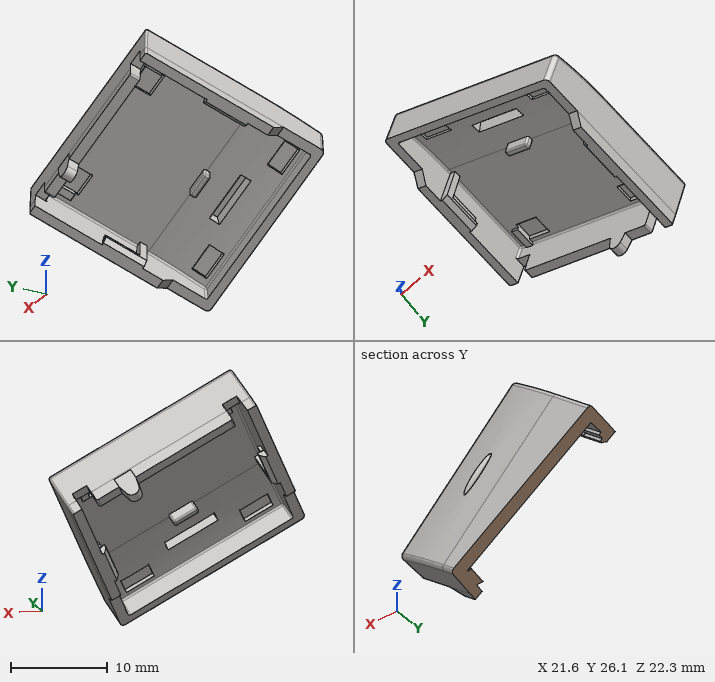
import cadquery as cq
import math


ROLL = 33.3
PITCH = 20.0

WIDTH = 22.2
LENGTH = 22.1
HEIGHT = 6.04
RIM_HEIGHT = 1.32
OUTER_DRAFT = 0.5
NOSE_DRAFT = 2.3
CURVE_START = -2.7
CURVE_RADIUS = 46.0
ROOT = 0.5
RAMP_LOW = -4.7
RAMP_HIGH = -5.9
EDGE_RADIUS = 0.5
TAIL_CORNER_RADIUS = 0.2

CEILING = 4.0
WALL = 1.1
TAIL_WALL = 1.2
NOSE_WALL = 0.97
SIDE_DRAFT = 2.0
NOSE_INNER_DRAFT = 5.0
CAVITY_RADIUS = 0.22
CUT_BASE = -1.0

TAB_HALF_WIDTH = 8.2
NOTCH_TOP = 2.35
TAB_CORNER_RADIUS = 0.2
TOOTH_X = 4.5
TOOTH_BASE_HALF = 1.0
TOOTH_TIP_RADIUS = 0.75
TOOTH_TIP_Z = -1.1

LATCH_TAIL = 2.77
LATCH_NOSE = -2.23
LATCH_REACH = 0.75
LATCH_LEAD_REACH = 0.26
LATCH_LEAD_HEIGHT = 0.6
LATCH_TOP = 0.95
PLATE_REACH = 0.4
PLATE_TOP = 1.75
PLATE_INSET = 0.1
LATCH_RIB = 0.85

STOP_LENGTH = 2.9
STOP_WIDTH = 0.8
STOP_HEIGHT = 1.2
STOP_RADIUS = 0.2
STOP_Y = -2.76
LIGHT_Y = -6.48
WINDOW_LENGTH = 6.0
WINDOW_WIDTH = 1.35
WINDOW_FLOOR_WIDTH = 0.65
WINDOW_FLOOR = 5.2
LENS_LENGTH = 5.2
LENS_WIDTH = 0.85
POCKET_DEPTH = 0.32
POCKET_INNER_X = 5.5
TAIL_POCKET = (6.9, 9.2)
TAIL_POCKET_OUTER_X = 8.2
NOSE_POCKET = (-9.3, -7.5)
NOSE_POCKET_OUTER_X = 8.85
POCKET_SLOPE = 0.15
PAD_OUTER_X = 9.05
PAD_NOSE = 7.3
PAD_DEPTH = 0.33

CEILING_RADIUS = CURVE_RADIUS - (HEIGHT - CEILING)
TAIL = LENGTH / 2
NOSE = -LENGTH / 2
SIDE = WIDTH / 2
TAIL_INNER = TAIL - TAIL_WALL


def tan_deg(angle):
    return math.tan(math.radians(angle))


def curve_drop(y, radius):
    """How far an arc tangent at CURVE_START has fallen at y."""
    run = min(y - CURVE_START, 0)
    return radius - math.sqrt(radius ** 2 - run ** 2)


def box(x_range, y_range, z_range):
    size = [b - a for a, b in (x_range, y_range, z_range)]
    low = (x_range[0], y_range[0], z_range[0])
    return cq.Workplane("XY").box(*size, centered=False).translate(low)


def along_x(profile, half_width):
    """Extrude a closed Y-Z profile symmetrically about x = 0."""
    return profile.extrude(half_width, both=True)


def tapered_prism(half_width, draft, base, top):
    """Y-long prism whose sides lean inward by draft above base."""
    top_half = half_width - tan_deg(draft) * (top - base)
    return (
        cq.Workplane("XZ")
        .moveTo(-half_width, base)
        .lineTo(half_width, base)
        .lineTo(top_half, top)
        .lineTo(-top_half, top)
        .close()
        .extrude(LENGTH, both=True)
    )


def domed_profile(tail, base, nose, tail_draft, nose_draft, top, radius):
    """Y-Z outline: flat top, leaning tail, and an arc down to a leaning nose."""
    lean = tan_deg(nose_draft)
    nose_top = nose
    for _ in range(5):
        nose_top = nose + lean * (top - curve_drop(nose_top, radius) - base)
    middle = (CURVE_START + nose_top) / 2
    return (
        cq.Workplane("YZ")
        .moveTo(tail, base)
        .lineTo(tail - tan_deg(tail_draft) * (top - base), top)
        .lineTo(CURVE_START, top)
        .threePointArc(
            (middle, top - curve_drop(middle, radius)),
            (nose_top, top - curve_drop(nose_top, radius)),
        )
        .lineTo(nose, base)
        .close()
    )


def edges_in(body, y_range, z_range):
    """Edges of a body whose centres lie within the given Y and Z ranges."""
    low = (-SIDE - 1, y_range[0], z_range[0])
    high = (SIDE + 1, y_range[1], z_range[1])
    return body.edges(cq.selectors.BoxSelector(low, high))


def outer_shell():
    profile = domed_profile(
        TAIL, RIM_HEIGHT, NOSE, OUTER_DRAFT, NOSE_DRAFT, HEIGHT, CURVE_RADIUS
    )
    body = along_x(profile, SIDE)
    body = body.intersect(tapered_prism(SIDE, OUTER_DRAFT, RIM_HEIGHT, HEIGHT + 1))
    mid_height = (RIM_HEIGHT + HEIGHT) / 2
    upright = (mid_height - 1, mid_height + 1)
    body = edges_in(body, (NOSE, RAMP_HIGH), upright).fillet(EDGE_RADIUS)
    skin = (mid_height + 1, HEIGHT + 1)
    behind = edges_in(body, (CURVE_START + 1, TAIL + 1), skin)
    ahead = edges_in(body, (NOSE - 1, CURVE_START - 1), skin)
    body = behind.add(ahead).fillet(EDGE_RADIUS)
    return edges_in(body, (TAIL - 0.1, TAIL), upright).fillet(TAIL_CORNER_RADIUS)


def rim_skirt():
    skirt = (
        cq.Workplane("XY", origin=(0, 0, RIM_HEIGHT))
        .rect(WIDTH, LENGTH)
        .extrude(-RIM_HEIGHT, taper=OUTER_DRAFT)
    )
    half_height = RIM_HEIGHT / 2
    tail_corners = edges_in(skirt, (TAIL - 1, TAIL + 1), (half_height - 0.1, half_height + 0.1))
    skirt = tail_corners.fillet(TAIL_CORNER_RADIUS)
    side_view = (
        cq.Workplane("YZ")
        .moveTo(TAIL, 0)
        .lineTo(RAMP_LOW, 0)
        .lineTo(RAMP_HIGH, RIM_HEIGHT)
        .lineTo(TAIL, RIM_HEIGHT)
        .close()
    )
    return skirt.intersect(along_x(side_view, SIDE))


def between_side_walls():
    """Prism that fills the space between the drafted inner faces of the side walls."""
    base_half = SIDE - WALL - tan_deg(SIDE_DRAFT) * CUT_BASE
    return tapered_prism(base_half, SIDE_DRAFT, CUT_BASE, HEIGHT)


def cavity():
    nose_inner = NOSE + NOSE_WALL
    nose_mouth = nose_inner + tan_deg(NOSE_INNER_DRAFT) * (CUT_BASE - RIM_HEIGHT)
    profile = domed_profile(
        TAIL_INNER, CUT_BASE, nose_mouth, 0, NOSE_INNER_DRAFT, CEILING, CEILING_RADIUS
    )
    core = along_x(profile, SIDE)
    core = core.intersect(between_side_walls())
    everywhere = NOSE, TAIL
    middle = (1, CEILING - 1)
    top = (CEILING - 1, HEIGHT)
    uprights = edges_in(core, everywhere, middle)
    behind = edges_in(core, (CURVE_START + 1, TAIL), top)
    ahead = edges_in(core, (NOSE, CURVE_START - 1), top)
    return uprights.add(behind).add(ahead).fillet(CAVITY_RADIUS)


def tail_notches():
    outward = (TAIL_INNER - CAVITY_RADIUS, TAIL + 1)
    notch = box((TAB_HALF_WIDTH, SIDE), outward, (CUT_BASE, NOTCH_TOP))
    return on_both_sides(notch.intersect(between_side_walls()))


def round_tab_corners(body):
    middle = TAIL - TAIL_WALL / 2
    for x in (-TAB_HALF_WIDTH, TAB_HALF_WIDTH):
        corner = cq.selectors.NearestToPointSelector((x, middle, 0))
        body = body.edges(corner).fillet(TAB_CORNER_RADIUS)
    return body


def tooth():
    """Round-tipped tapering tooth under the tail tab."""
    to_corner = math.hypot(TOOTH_BASE_HALF, TOOTH_TIP_Z)
    touch_angle = math.atan2(-TOOTH_TIP_Z, TOOTH_BASE_HALF) - math.acos(TOOTH_TIP_RADIUS / to_corner)
    touch_x = TOOTH_TIP_RADIUS * math.cos(touch_angle)
    touch_z = TOOTH_TIP_Z + TOOTH_TIP_RADIUS * math.sin(touch_angle)
    root = NOTCH_TOP / 2
    return (
        cq.Workplane("XZ", origin=(TOOTH_X, TAIL, 0))
        .moveTo(-TOOTH_BASE_HALF, root)
        .lineTo(-TOOTH_BASE_HALF, 0)
        .lineTo(-touch_x, touch_z)
        .threePointArc((0, TOOTH_TIP_Z - TOOTH_TIP_RADIUS), (touch_x, touch_z))
        .lineTo(TOOTH_BASE_HALF, 0)
        .lineTo(TOOTH_BASE_HALF, root)
        .close()
        .extrude(TAIL_WALL)
    )


def latch():
    """Snap latch on the +X wall: lead-in chamfer, step plate above it and a rib to the ceiling."""
    wall = SIDE - WALL
    root = wall + WALL / 2
    lead = (
        cq.Workplane("XZ", origin=(0, LATCH_TAIL, 0))
        .moveTo(root, 0)
        .lineTo(wall - LATCH_LEAD_REACH, 0)
        .lineTo(wall - LATCH_REACH, LATCH_LEAD_HEIGHT)
        .lineTo(wall - LATCH_REACH, LATCH_TOP)
        .lineTo(root, LATCH_TOP)
        .close()
        .extrude(LATCH_TAIL - LATCH_NOSE)
    )
    plate = box(
        (wall - PLATE_REACH, root), (LATCH_NOSE, LATCH_TAIL - PLATE_INSET), (LATCH_TOP, PLATE_TOP)
    )
    rib = box(
        (wall - LATCH_REACH, root), (LATCH_NOSE, LATCH_NOSE + LATCH_RIB), (LATCH_TOP, CEILING + ROOT)
    )
    return lead.union(plate).union(rib)


def stop_boss():
    """Round-cornered block hanging from the ceiling at the start of the curve."""
    boss = cq.Workplane("XY").box(STOP_LENGTH, STOP_WIDTH, STOP_HEIGHT + ROOT)
    boss = boss.edges("|Z or <Z").fillet(STOP_RADIUS)
    return boss.translate((0, STOP_Y, CEILING + (ROOT - STOP_HEIGHT) / 2))


def light_window():
    """Tapering recess in the ceiling behind the indicator lens."""
    mouth = CEILING - 0.5
    half = WINDOW_WIDTH / 2
    floor_half = WINDOW_FLOOR_WIDTH / 2
    profile = (
        cq.Workplane("YZ")
        .moveTo(LIGHT_Y - half, mouth)
        .lineTo(LIGHT_Y + half, mouth)
        .lineTo(LIGHT_Y + floor_half, WINDOW_FLOOR)
        .lineTo(LIGHT_Y - floor_half, WINDOW_FLOOR)
        .close()
    )
    return along_x(profile, WINDOW_LENGTH / 2)


def lens_dish():
    """Elliptical dish in the outer skin, an ellipse spun about its long axis."""
    half = LENS_LENGTH / 2
    dish = (
        cq.Workplane("XY")
        .moveTo(half, 0)
        .ellipseArc(half, LENS_WIDTH / 2, 0, 180, startAtCurrent=True)
        .close()
        .revolve(360, (0, 0, 0), (1, 0, 0))
    )
    return dish.translate((0, LIGHT_Y, HEIGHT - curve_drop(LIGHT_Y, CURVE_RADIUS)))


def ceiling_pocket(y_range, outer_x, nose_slope, tail_slope):
    """Shallow pocket of even depth whose ends slope in from mouth to floor."""
    nose_end, tail_end = y_range
    nose_mouth = CEILING - curve_drop(nose_end, CEILING_RADIUS)
    tail_mouth = CEILING - curve_drop(tail_end, CEILING_RADIUS)
    profile = (
        cq.Workplane("YZ", origin=(POCKET_INNER_X, 0, 0))
        .moveTo(nose_end, nose_mouth)
        .lineTo(nose_end + nose_slope, nose_mouth + POCKET_DEPTH)
        .lineTo(tail_end - tail_slope, tail_mouth + POCKET_DEPTH)
        .lineTo(tail_end, tail_mouth)
        .lineTo(tail_end, nose_mouth - POCKET_DEPTH)
        .lineTo(nose_end, nose_mouth - POCKET_DEPTH)
        .close()
    )
    return profile.extrude(outer_x - POCKET_INNER_X)


def corner_pad():
    tail_root = TAIL_INNER + TAIL_WALL / 2
    return box(
        (TAIL_POCKET_OUTER_X, PAD_OUTER_X),
        (PAD_NOSE, tail_root),
        (CEILING - PAD_DEPTH, CEILING + ROOT),
    )


def on_both_sides(feature):
    return feature.union(feature.mirror("YZ"))


def cover():
    body = outer_shell().union(rim_skirt()).cut(cavity())
    body = round_tab_corners(body.cut(tail_notches())).union(tooth())
    body = body.union(on_both_sides(latch())).union(stop_boss()).cut(light_window())
    tail_pocket = ceiling_pocket(TAIL_POCKET, TAIL_POCKET_OUTER_X, POCKET_SLOPE, POCKET_SLOPE)
    nose_pocket = ceiling_pocket(NOSE_POCKET, NOSE_POCKET_OUTER_X, POCKET_SLOPE, 0)
    body = body.cut(on_both_sides(tail_pocket)).cut(on_both_sides(nose_pocket))
    body = body.union(on_both_sides(corner_pad()))
    return body.cut(lens_dish(), clean=False)


flat = cover()
result = flat.rotate((0, 0, 0), (0, 1, 0), ROLL).rotate((0, 0, 0), (1, 0, 0), PITCH)